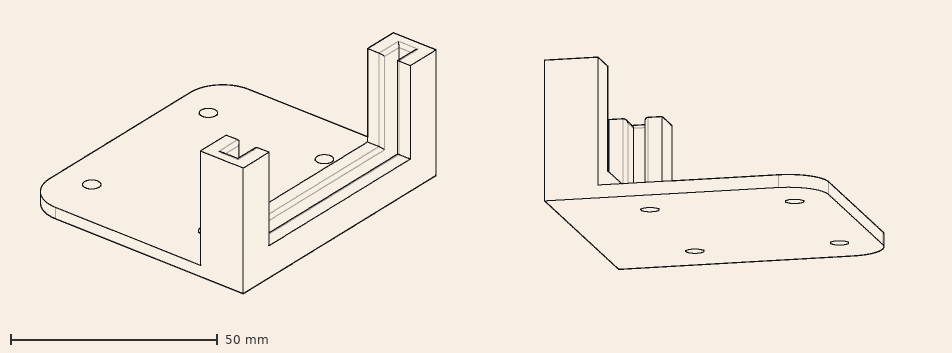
import cadquery as cq

plate_length = 68.2
plate_width = 74.25
plate_thickness = 3.2
corner_radius = 10.0

hole_diameter = 4.45
hole_spacing_x = 36.0
hole_spacing_y = 44.9
first_hole_x = 9.7
hole_center_y = -0.45

frame_thickness = 13.3
frame_height = 35.0
column_width = 9.95
rail_height = 9.0

groove_width = 4.2
groove_length = 67.3
groove_floor = plate_thickness
selection_margin = 0.1
lip_radius = 1.0

frame_center_x = plate_length - frame_thickness / 2
opening_width = plate_width - 2 * column_width


def standing_block(size_x, size_y, bottom, top):
    """Block centred on the frame, spanning the given heights."""
    return (
        cq.Workplane("XY", origin=(frame_center_x, 0, bottom))
        .rect(size_x, size_y)
        .extrude(top - bottom)
    )


def make_plate():
    plate = (
        cq.Workplane("XY")
        .rect(plate_length, plate_width)
        .extrude(plate_thickness)
        .edges("|Z and <X")
        .fillet(corner_radius)
        .translate((plate_length / 2, 0, 0))
    )
    holes = (
        cq.Workplane("XY", origin=(first_hole_x + hole_spacing_x / 2, hole_center_y, 0))
        .rarray(hole_spacing_x, hole_spacing_y, 2, 2)
        .circle(hole_diameter / 2)
        .extrude(plate_thickness)
    )
    return plate.cut(holes)


def make_frame():
    frame = standing_block(frame_thickness, plate_width, 0, frame_height)
    opening = standing_block(frame_thickness, opening_width, rail_height, frame_height)
    groove = standing_block(groove_width, groove_length, groove_floor, frame_height)
    frame = frame.cut(opening).cut(groove)

    half_width = groove_width / 2 + selection_margin
    half_length = groove_length / 2 + selection_margin
    mouth = cq.selectors.BoxSelector(
        (frame_center_x - half_width, -half_length, rail_height - selection_margin),
        (frame_center_x + half_width, half_length, frame_height + selection_margin),
        boundingbox=True,
    )
    return frame.edges(mouth).fillet(lip_radius)


result = make_plate().union(make_frame())